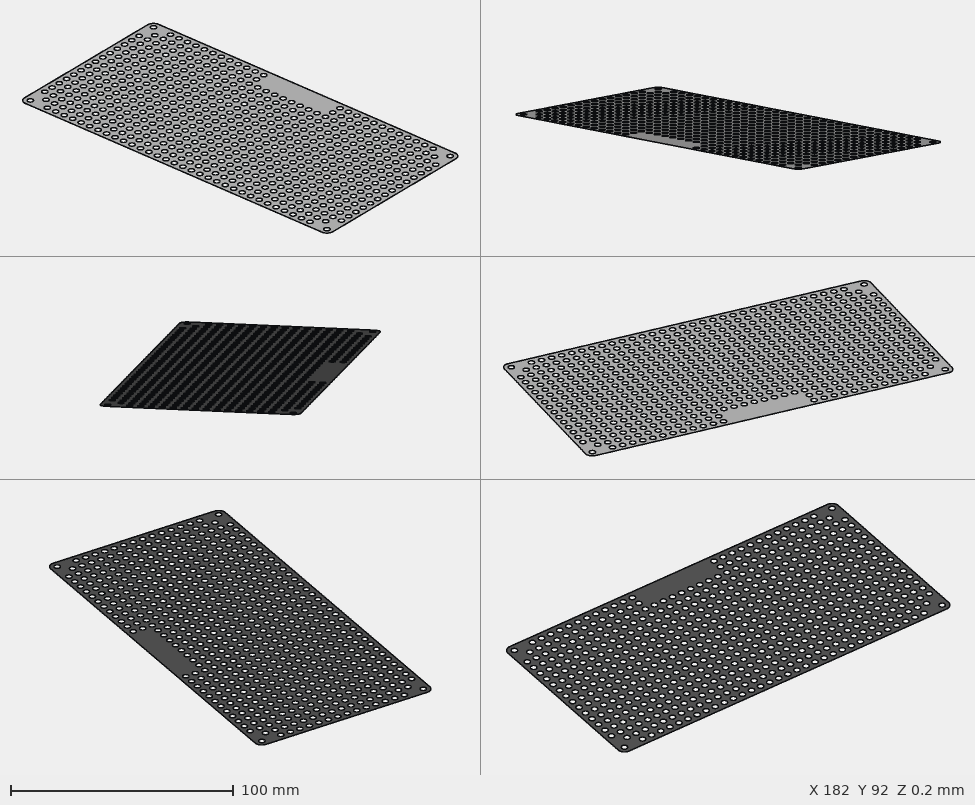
import cadquery as cq

length = 182.0
thickness = 0.2

edge_margin = 3.5
hole_diameter = 3.0
columns = 36
rows = 18
hole_pitch = (length - 2 * edge_margin) / (columns - 1)

width = (rows - 1) * hole_pitch + 2 * edge_margin

corner_radius = edge_margin

label_columns = 8
label_rows = 2
label_first_column = (columns - label_columns) // 2


def in_label_area(column, row):
    beside_middle = label_first_column <= column < label_first_column + label_columns
    return beside_middle and row >= rows - label_rows


def next_to_corner(column, row):
    """True for the grid positions directly beside or above/below a corner hole."""
    columns_in = min(column, columns - 1 - column)
    rows_in = min(row, rows - 1 - row)
    return columns_in + rows_in == 1


def hole_centres():
    centres = []
    for column in range(columns):
        for row in range(rows):
            if in_label_area(column, row) or next_to_corner(column, row):
                continue
            x = edge_margin + column * hole_pitch - length / 2
            y = edge_margin + row * hole_pitch - width / 2
            centres.append((x, y))
    return centres


plate = (
    cq.Workplane("XY")
    .rect(length, width)
    .extrude(thickness)
    .edges("|Z")
    .fillet(corner_radius)
)

hole_pins = (
    cq.Workplane("XY")
    .pushPoints(hole_centres())
    .circle(hole_diameter / 2)
    .extrude(thickness)
)

result = plate.cut(hole_pins)